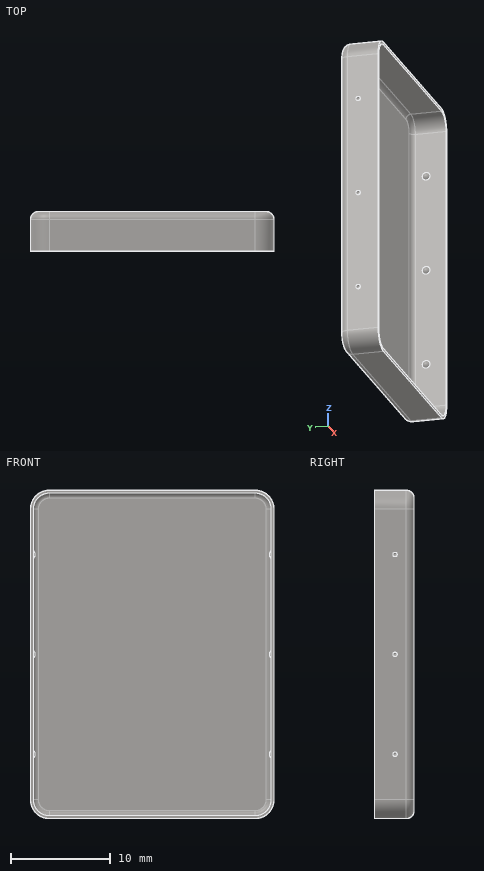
import cadquery as cq
import math

width = 24.4
depth = 4.0
height = 32.9
wall = 0.3
corner_radius = 1.9
back_edge_radius = 0.8

hollow_radius = 0.22
hollow_depth = 0.25
bump_radius = 0.4
bump_height = 0.17
dimple_pitch = 10.0
dimples_per_side = 3
dimple_setback = 2.08



def rounded_block(inset):
    """Block with rounded corners and a rounded back edge, shrunk by inset on all sides but the front."""
    block = cq.Workplane("XY").box(
        width - 2 * inset, depth - inset, height - 2 * inset, centered=(True, False, True)
    )
    block = block.edges("|Y").fillet(corner_radius - inset)
    return block.faces(">Y").edges().fillet(back_edge_radius - inset)


def spherical_cap(base_radius, rise):
    """Cap on a flat base in the plane X = 0, rising toward +X."""
    sphere_radius = (base_radius**2 + rise**2) / (2 * rise)
    sphere_centre = rise - sphere_radius
    half_angle = math.atan2(base_radius, -sphere_centre) / 2
    arc_middle = (
        sphere_centre + sphere_radius * math.cos(half_angle),
        sphere_radius * math.sin(half_angle),
    )
    return (
        cq.Workplane("XY")
        .lineTo(0, base_radius)
        .threePointArc(arc_middle, (rise, 0))
        .close()
        .revolve(axisStart=(0, 0, 0), axisEnd=(1, 0, 0))
    )


def add_dimple(body, z):
    """Press one dimple into each of the two side walls at height z."""
    bump = spherical_cap(bump_radius, bump_height)
    bump = bump.translate((wall - width / 2, dimple_setback, z))
    hollow = spherical_cap(hollow_radius, hollow_depth)
    hollow = hollow.translate((-width / 2, dimple_setback, z))
    body = body.union(bump).union(bump.mirror("YZ"))
    return body.cut(hollow).cut(hollow.mirror("YZ"))


result = rounded_block(0).cut(rounded_block(wall))
for index in range(dimples_per_side):
    result = add_dimple(result, (index - (dimples_per_side - 1) / 2) * dimple_pitch)